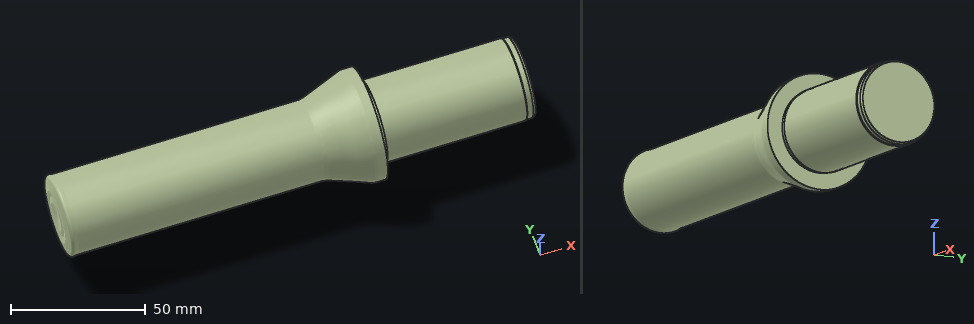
import cadquery as cq
import math

total_length = 183.0
shank_radius = 31.5 / 2
seat_radius = 32.0 / 2
flange_radius = 44.0 / 2

flare_start = 100.8
flange_start = 118.2
flange_end = 122.6
seat_start = 124.6
seat_end = 179.3

flare_root_fillet = 5.5
flange_rim_fillet = 3.7
foot_round = 1.3
foot_ramp_length = 1.5
seat_chamfer = seat_radius - shank_radius
tail_chamfer_length = 1.1
tail_chamfer_depth = 0.5

foot_face_radius = seat_radius - foot_round
outer_crest_radius = 10.2
valley_radius = 7.9
inner_crest_radius = 5.7
face_slope = math.radians(8.0)

groove_depth = 1.6
groove_radius = shank_radius - groove_depth
ring_ramp_start = 123.5


def slope_rise(outer, inner):
    """Axial rise of a foot-face cone between two radii."""
    return (outer - inner) * math.tan(face_slope)


def make_shaft():
    rim_x = slope_rise(foot_face_radius, outer_crest_radius)
    valley_x = slope_rise(outer_crest_radius, valley_radius)
    inner_crest_x = valley_x - slope_rise(valley_radius, inner_crest_radius)
    apex_x = inner_crest_x + slope_rise(inner_crest_radius, 0)
    foot_ridge_x = rim_x + foot_round
    round_middle = foot_round * math.sqrt(0.5)

    profile = (
        cq.Workplane("XY")
        .moveTo(apex_x, 0)
        .lineTo(inner_crest_x, inner_crest_radius)
        .lineTo(valley_x, valley_radius)
        .lineTo(0, outer_crest_radius)
        .lineTo(rim_x, foot_face_radius)
        .threePointArc(
            (foot_ridge_x - round_middle, foot_face_radius + round_middle),
            (foot_ridge_x, seat_radius),
        )
        .lineTo(foot_ridge_x + foot_ramp_length, shank_radius)
        .lineTo(flare_start, shank_radius)
        .lineTo(flange_start, flange_radius)
        .lineTo(flange_end, flange_radius)
        .lineTo(flange_end, groove_radius)
        .lineTo(seat_start, groove_radius)
        .lineTo(seat_start, seat_radius)
        .lineTo(seat_end, seat_radius)
        .lineTo(seat_end + seat_chamfer, shank_radius)
        .lineTo(total_length - tail_chamfer_length, shank_radius)
        .lineTo(total_length, shank_radius - tail_chamfer_depth)
        .lineTo(total_length, 0)
        .close()
    )
    shaft = profile.revolve(360, (0, 0, 0), (1, 0, 0))
    shaft = blend_circle(shaft, flare_start, flare_root_fillet)
    return blend_circle(shaft, flange_start, flange_rim_fillet)


def blend_circle(body, x, radius):
    """Fillet the circular edge of the body that lies at x."""
    reach = 0.2
    window = flange_radius + 1.8
    selector = cq.selectors.BoxSelector(
        (x - reach, -window, -window), (x + reach, window, window), boundingbox=True
    )
    return body.edges(selector).fillet(radius)


def make_ring():
    """Ring with a cylindrical land and a ramp that rises to the seat diameter."""
    return (
        cq.Workplane("XY")
        .moveTo(flange_end, groove_radius)
        .lineTo(flange_end, shank_radius)
        .lineTo(ring_ramp_start, shank_radius)
        .lineTo(seat_start, seat_radius)
        .lineTo(seat_start, groove_radius)
        .close()
        .revolve(360, (0, 0, 0), (1, 0, 0))
    )


shaft = make_shaft()
collar_ring = make_ring()

result = cq.Compound.makeCompound([shaft.val(), collar_ring.val()])